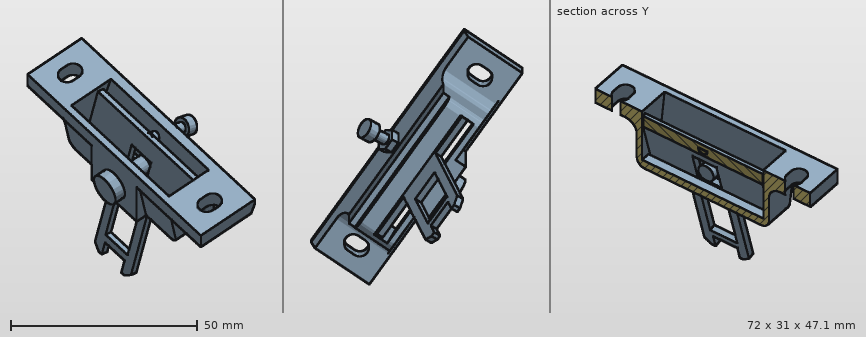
import cadquery as cq
import math


FLANGE_LENGTH = 72.0
FLANGE_DEPTH = 19.1
FLANGE_THICKNESS = 5.05
HOUSING_HEIGHT = 19.95
BODY_WIDTH = 44.4
FLARE_RADIUS = 3.75
BOTTOM_RADIUS = 2.9
FRONT_SETBACK = 3.3
BACK_LIP = 1.8
BACK_ANGLE = 22.0
BACK_BODY_Y = 16.3
BACK_STEP_Y = 14.3
BLOCK_WIDTH = 18.7

CAVITY_WIDTH = 40.5
CAVITY_FRONT_TOP = 2.15
CAVITY_FRONT_BOTTOM = 5.1
CAVITY_BACK_TOP = 16.05
CAVITY_BACK_BOTTOM = 13.25
FLOOR_THICKNESS = 2.9
FLOOR_FRONT_Y = 9.35
SLOT_SPACING = 57.95
SLOT_LENGTH = 7.05
SLOT_WIDTH = 5.0
SLOT_Y = 9.1

BOSS_DIAMETER = 9.0
BOSS_LENGTH = 3.3
PIN_DIAMETER = 5.1
PIN_END_Y = 10.8
PIN_Z = -12.6

KEY_ANGLE = 15.0
KEY_THICKNESS = 2.0
KEY_END_Y = -0.9
KEY_END_Z = -46.6
KEY_LENGTH = 47.0
KEY_PLATE_WIDTH = 40.0
KEY_PLATE_LENGTH = 17.5
TONGUE_WIDTH = 15.0
TONGUE_WINDOW_WIDTH = 9.1
TONGUE_WINDOW_START = 6.9
TONGUE_WINDOW_LENGTH = 15.8
NOTCH_WIDTH = 8.1
NOTCH_DEPTH = 4.4
TIP_CHAMFER_WIDTH = 2.15
TIP_CHAMFER_LENGTH = 1.9
PIN_WINDOW_WIDTH = 8.1
PIN_WINDOW_START = 31.5
PIN_WINDOW_LENGTH = 9.1

SCREW_SEAT_Z = -5.2
HEAD_DIAMETER = 5.55
HEAD_LENGTH = 3.1
SHANK_DIAMETER = 3.0
SCREW_LENGTH = 15.5
NUT_ACROSS_CORNERS = 6.4
NUT_THICKNESS = 2.2
SCREW_SEAT = 9.65

BACK_SLOPE = math.tan(math.radians(BACK_ANGLE))


def extrude_side(points, width):
    """Prism of a closed (Y, Z) outline, centred across X."""
    return cq.Workplane("YZ").polyline(points).close().extrude(width / 2, both=True)


def make_front_prism():
    """Flange and round-cornered body, extruded from front to back."""
    half_flange = FLANGE_LENGTH / 2
    half_body = BODY_WIDTH / 2
    flare_z = -FLANGE_THICKNESS - FLARE_RADIUS
    flare_shift = FLARE_RADIUS * (1 - math.sqrt(0.5))
    corner_shift = BOTTOM_RADIUS * (1 - math.sqrt(0.5))
    right_half = (
        cq.Workplane("XZ")
        .lineTo(half_flange, 0)
        .lineTo(half_flange, -FLANGE_THICKNESS)
        .lineTo(half_body + FLARE_RADIUS, -FLANGE_THICKNESS)
        .threePointArc((half_body + flare_shift, -FLANGE_THICKNESS - flare_shift), (half_body, flare_z))
        .lineTo(half_body, -HOUSING_HEIGHT + BOTTOM_RADIUS)
        .threePointArc(
            (half_body - corner_shift, -HOUSING_HEIGHT + corner_shift),
            (half_body - BOTTOM_RADIUS, -HOUSING_HEIGHT),
        )
        .lineTo(0, -HOUSING_HEIGHT)
        .close()
        .extrude(-FLANGE_DEPTH)
    )
    return right_half.union(right_half.mirror("YZ"))


def make_side_prism():
    """Side outline with leaning wing fronts and a sloping, stepped back."""
    wing_top_y = FRONT_SETBACK * FLANGE_THICKNESS / HOUSING_HEIGHT
    slope_end_z = -BACK_LIP - (FLANGE_DEPTH - BACK_BODY_Y) / BACK_SLOPE
    step_z = -HOUSING_HEIGHT + BOTTOM_RADIUS
    outline = [
        (0, 0),
        (0, -FLANGE_THICKNESS),
        (wing_top_y, -FLANGE_THICKNESS),
        (FRONT_SETBACK, -HOUSING_HEIGHT),
        (BACK_STEP_Y, -HOUSING_HEIGHT),
        (BACK_STEP_Y, step_z),
        (BACK_BODY_Y, step_z),
        (BACK_BODY_Y, slope_end_z),
        (FLANGE_DEPTH, -BACK_LIP),
        (FLANGE_DEPTH, 0),
    ]
    return extrude_side(outline, FLANGE_LENGTH)


def make_center_block():
    """Upright block that fills the front between the leaning wings."""
    outline = [(0, 0), (0, -HOUSING_HEIGHT), (FRONT_SETBACK, -HOUSING_HEIGHT)]
    return extrude_side(outline, BLOCK_WIDTH)


def make_cavity():
    """Opening that holds the key plate, narrowed by a floor ledge at the back."""
    floor_z = -HOUSING_HEIGHT + FLOOR_THICKNESS
    slope_end_z = -(CAVITY_BACK_TOP - CAVITY_BACK_BOTTOM) / BACK_SLOPE
    outline = [
        (CAVITY_FRONT_TOP, 0),
        (CAVITY_FRONT_BOTTOM, -HOUSING_HEIGHT),
        (FLOOR_FRONT_Y, -HOUSING_HEIGHT),
        (FLOOR_FRONT_Y, floor_z),
        (CAVITY_BACK_BOTTOM, floor_z),
        (CAVITY_BACK_BOTTOM, slope_end_z),
        (CAVITY_BACK_TOP, 0),
    ]
    return extrude_side(outline, CAVITY_WIDTH)


def make_mounting_slots():
    half_spacing = SLOT_SPACING / 2
    return (
        cq.Workplane("XY")
        .pushPoints([(-half_spacing, SLOT_Y), (half_spacing, SLOT_Y)])
        .slot2D(SLOT_LENGTH, SLOT_WIDTH, 90)
        .extrude(-FLANGE_THICKNESS)
    )


def make_pin():
    """Boss on the front face and the pin that runs back from it."""
    front = cq.Workplane("XZ").center(0, PIN_Z)
    boss = front.circle(BOSS_DIAMETER / 2).extrude(BOSS_LENGTH)
    pin = front.circle(PIN_DIAMETER / 2).extrude(-PIN_END_Y)
    return boss.union(pin)


def screw_plane():
    """Plane on the outer head face, with its normal pointing into the housing."""
    angle = math.radians(BACK_ANGLE)
    seat_y = FLANGE_DEPTH + (SCREW_SEAT_Z + BACK_LIP) * BACK_SLOPE
    head_y = seat_y + SCREW_SEAT * math.cos(angle)
    head_z = SCREW_SEAT_Z - SCREW_SEAT * math.sin(angle)
    return cq.Plane(
        origin=(0, head_y, head_z),
        xDir=(1, 0, 0),
        normal=(0, -math.cos(angle), math.sin(angle)),
    )


def make_shank():
    return cq.Workplane(screw_plane()).circle(SHANK_DIAMETER / 2).extrude(SCREW_LENGTH)


def make_screw():
    head = cq.Workplane(screw_plane()).circle(HEAD_DIAMETER / 2).extrude(HEAD_LENGTH)
    nut = (
        cq.Workplane(screw_plane())
        .workplane(offset=SCREW_SEAT - NUT_THICKNESS)
        .polygon(6, NUT_ACROSS_CORNERS)
        .extrude(NUT_THICKNESS)
    )
    return make_shank().union(head).union(nut)


def make_housing():
    shell = make_front_prism().intersect(make_side_prism()).union(make_center_block())
    shell = shell.cut(make_cavity()).cut(make_mounting_slots())
    return shell.cut(make_shank()).union(make_pin())


def make_key():
    """Wide plate with a narrow, windowed tongue ending in two prongs."""
    angle = math.radians(KEY_ANGLE)
    key_face = cq.Plane(
        origin=(0, KEY_END_Y, KEY_END_Z),
        xDir=(1, 0, 0),
        normal=(0, -math.cos(angle), math.sin(angle)),
    )
    half_plate = KEY_PLATE_WIDTH / 2
    half_tongue = TONGUE_WIDTH / 2
    half_notch = NOTCH_WIDTH / 2
    shoulder = KEY_LENGTH - KEY_PLATE_LENGTH
    right_side = [
        (half_notch, NOTCH_DEPTH),
        (half_notch, 0),
        (half_tongue - TIP_CHAMFER_WIDTH, 0),
        (half_tongue, TIP_CHAMFER_LENGTH),
        (half_tongue, shoulder),
        (half_plate, shoulder),
        (half_plate, KEY_LENGTH),
    ]
    left_side = [(-x, y) for x, y in reversed(right_side)]
    key = cq.Workplane(key_face).polyline(right_side + left_side).close().extrude(-KEY_THICKNESS)

    windows = [
        (TONGUE_WINDOW_WIDTH, TONGUE_WINDOW_START, TONGUE_WINDOW_LENGTH),
        (PIN_WINDOW_WIDTH, PIN_WINDOW_START, PIN_WINDOW_LENGTH),
    ]
    for width, start, length in windows:
        window = (
            cq.Workplane(key_face)
            .center(0, start + length / 2)
            .rect(width, length)
            .extrude(-KEY_THICKNESS)
        )
        key = key.cut(window)

    return key.cut(make_shank())


housing = make_housing()
key = make_key()
screw = make_screw()

result = cq.Compound.makeCompound([housing.val(), key.val(), screw.val()])